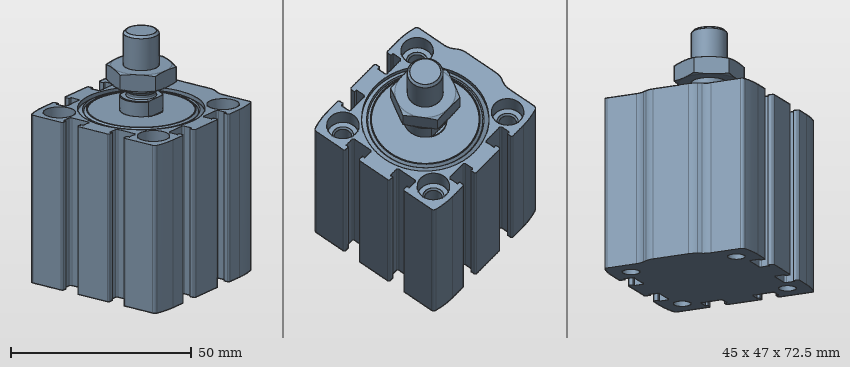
import cadquery as cq
import math

BODY_WIDTH = 45.0
BODY_DEPTH = 47.0
BODY_HEIGHT = 49.5
SIDE_FLAT_HALF = 15.5
SIDE_CURVE_RADIUS = 22.5
CORNER_RADIUS = 1.0
HALF_WIDTH = BODY_WIDTH / 2

BACK_Y = BODY_DEPTH - HALF_WIDTH
BACK_HALF_WIDTH = 6.8
BACK_SLOPE = math.radians(30)
BACK_BLEND_RADIUS = 5.0

SLOT_OFFSET = 8.0
SLOT_OPENING = 5.0
SLOT_INNER_WIDTH = 6.7
SLOT_LIP = 1.7
SLOT_DEPTH = 4.7
SLOT_EDGE_RADIUS = 0.5

HOLE_OFFSET = 16.25
HOLE_DIAMETER = 4.9
HOLE_CHAMFER = 0.5
COUNTERBORE_DIAMETER = 9.0
COUNTERBORE_DEPTH = 5.0

BORE_RADIUS = 35.4 / 2
BORE_WALL_DEPTH = 1.2
OUTER_CONE_TOP_RADIUS = 16.3
OUTER_CONE_ANGLE = math.radians(31)
INNER_CONE_BASE_RADIUS = 32.0 / 2
INNER_CONE_TOP_RADIUS = 15.2
INNER_CONE_ANGLE = math.radians(40)
RIM_DEPTH = 0.2
CAP_FACE_RADIUS = 14.9
CAP_FACE_DEPTH = 0.35
CAP_FACE_Z = BODY_HEIGHT - CAP_FACE_DEPTH
ROD_SEAT_DEPTH = 7.25

TOTAL_HEIGHT = 72.5
ROD_RADIUS = 12.0 / 2
ROD_FLATS_WIDTH = 10.0
FLATS_BOTTOM_Z = CAP_FACE_Z - 0.35
ROD_EDGE_CHAMFER = 0.2
THREAD_RADIUS = 10.0 / 2
TIP_RADIUS = 8.6 / 2
NECK_RADIUS = 8.1 / 2
SHOULDER_Z = TOTAL_HEIGHT - 18.9
NECK_BLEND_HEIGHT = 0.5
THREAD_BOTTOM_Z = TOTAL_HEIGHT - 16.8

NUT_ACROSS_FLATS = 17.0
NUT_THICKNESS = 5.0
NUT_TOP_Z = TOTAL_HEIGHT - 10.1
NUT_CHAMFER_ANGLE = math.radians(15)


def housing_block():
    """Square block with curved side ends, rounded corners and a raised back."""
    curve_rise = HALF_WIDTH - SIDE_FLAT_HALF
    end_inset = SIDE_CURVE_RADIUS - math.sqrt(SIDE_CURVE_RADIUS**2 - curve_rise**2)
    mid_inset = SIDE_CURVE_RADIUS - math.sqrt(SIDE_CURVE_RADIUS**2 - (curve_rise / 2) ** 2)
    end_x = HALF_WIDTH - end_inset
    mid_x = HALF_WIDTH - mid_inset
    mid_y = SIDE_FLAT_HALF + curve_rise / 2
    block = (
        cq.Workplane("XY")
        .moveTo(-end_x, -HALF_WIDTH)
        .lineTo(end_x, -HALF_WIDTH)
        .threePointArc((mid_x, -mid_y), (HALF_WIDTH, -SIDE_FLAT_HALF))
        .lineTo(HALF_WIDTH, SIDE_FLAT_HALF)
        .threePointArc((mid_x, mid_y), (end_x, HALF_WIDTH))
        .lineTo(-end_x, HALF_WIDTH)
        .threePointArc((-mid_x, mid_y), (-HALF_WIDTH, SIDE_FLAT_HALF))
        .lineTo(-HALF_WIDTH, -SIDE_FLAT_HALF)
        .threePointArc((-mid_x, -mid_y), (-end_x, -HALF_WIDTH))
        .close()
        .extrude(BODY_HEIGHT)
    )
    corners = [(sx * end_x, sy * HALF_WIDTH) for sx in (-1, 1) for sy in (-1, 1)]
    block = fillet_upright_edges(block, corners, CORNER_RADIUS)

    foot_x = BACK_HALF_WIDTH + (BACK_Y - HALF_WIDTH) / math.tan(BACK_SLOPE)
    back = (
        cq.Workplane("XY")
        .polyline([
            (-foot_x, HALF_WIDTH),
            (-BACK_HALF_WIDTH, BACK_Y),
            (BACK_HALF_WIDTH, BACK_Y),
            (foot_x, HALF_WIDTH),
            (foot_x, 0),
            (-foot_x, 0),
        ])
        .close()
        .extrude(BODY_HEIGHT)
    )
    shoulders = [(s * foot_x, HALF_WIDTH) for s in (-1, 1)]
    shoulders += [(s * BACK_HALF_WIDTH, BACK_Y) for s in (-1, 1)]
    return fillet_upright_edges(block.union(back), shoulders, BACK_BLEND_RADIUS)


def fillet_upright_edges(solid, points, radius):
    """Round the full-height edges that stand at the given (x, y) points."""
    reach = 0.1
    for x, y in points:
        box = cq.selectors.BoxSelector(
            (x - reach, y - reach, 0), (x + reach, y + reach, BODY_HEIGHT)
        )
        solid = solid.edges("|Z").edges(box).fillet(radius)
    return solid


def front_slot(x):
    """T-shaped cutter for a slot in the front face, centred at x, with its edge rounding."""
    half_open = SLOT_OPENING / 2
    r = SLOT_EDGE_RADIUS
    face_y = -HALF_WIDTH
    mouth_profile = (
        cq.Sketch()
        .rect(SLOT_OPENING + 2 * r, 2 * r)
        .push([(-half_open - r, r), (half_open + r, r)])
        .circle(r, mode="s")
    )
    mouth = cq.Workplane("XY").center(x, face_y).placeSketch(mouth_profile).extrude(BODY_HEIGHT)
    throat = (
        cq.Workplane("XY")
        .center(x, face_y + SLOT_DEPTH / 2)
        .rect(SLOT_OPENING, SLOT_DEPTH)
        .extrude(BODY_HEIGHT)
    )
    chamber = (
        cq.Workplane("XY")
        .center(x, face_y + (SLOT_LIP + SLOT_DEPTH) / 2)
        .rect(SLOT_INNER_WIDTH, SLOT_DEPTH - SLOT_LIP)
        .extrude(BODY_HEIGHT)
        .edges("|Z and >Y")
        .fillet(r)
    )
    return throat.union(chamber).union(mouth)


def mounting_hole(x, y):
    """Cutter for a through hole with a chamfered mouth below a counterbore."""
    radius = HOLE_DIAMETER / 2
    floor_z = BODY_HEIGHT - COUNTERBORE_DEPTH
    return (
        cq.Workplane("XZ")
        .polyline([
            (0, 0),
            (radius, 0),
            (radius, floor_z - HOLE_CHAMFER),
            (radius + HOLE_CHAMFER, floor_z),
            (COUNTERBORE_DIAMETER / 2, floor_z),
            (COUNTERBORE_DIAMETER / 2, BODY_HEIGHT),
            (0, BODY_HEIGHT),
        ])
        .close()
        .revolve()
        .translate((x, y, 0))
    )


def cap_recess():
    """Cutter above the end cap: two cones step up to a thin rim round the sunken cap face."""
    rim_z = BODY_HEIGHT - RIM_DEPTH
    inner_rise = (INNER_CONE_BASE_RADIUS - INNER_CONE_TOP_RADIUS) * math.tan(INNER_CONE_ANGLE)
    outer_base_z = BODY_HEIGHT - BORE_WALL_DEPTH
    outer_rise = (BORE_RADIUS - OUTER_CONE_TOP_RADIUS) * math.tan(OUTER_CONE_ANGLE)
    return (
        cq.Workplane("XZ")
        .polyline([
            (0, CAP_FACE_Z),
            (CAP_FACE_RADIUS, CAP_FACE_Z),
            (CAP_FACE_RADIUS, rim_z),
            (INNER_CONE_TOP_RADIUS, rim_z),
            (INNER_CONE_BASE_RADIUS, rim_z - inner_rise),
            (OUTER_CONE_TOP_RADIUS, outer_base_z + outer_rise),
            (BORE_RADIUS, outer_base_z),
            (BORE_RADIUS, BODY_HEIGHT),
            (0, BODY_HEIGHT),
        ])
        .close()
        .revolve()
    )


def rod_seat():
    """Cutter for the blind round seat that holds the rod in the end cap."""
    return (
        cq.Workplane("XY", origin=(0, 0, CAP_FACE_Z - ROD_SEAT_DEPTH))
        .circle(ROD_RADIUS)
        .extrude(ROD_SEAT_DEPTH)
    )


def make_housing():
    body = housing_block()
    for side_angle in (-90, 0, 90):
        for x in (-SLOT_OFFSET, SLOT_OFFSET):
            body = body.cut(front_slot(x).rotate((0, 0, 0), (0, 0, 1), side_angle))
    for x in (-HOLE_OFFSET, HOLE_OFFSET):
        for y in (-HOLE_OFFSET, HOLE_OFFSET):
            body = body.cut(mounting_hole(x, y))
    return body.cut(cap_recess()).cut(rod_seat())


def make_rod():
    """Rod seated in the end cap: round foot, flatted base, undercut neck and threaded end."""
    foot_z = CAP_FACE_Z - ROD_SEAT_DEPTH
    foot = (
        cq.Workplane("XY", origin=(0, 0, foot_z))
        .circle(ROD_RADIUS)
        .extrude(FLATS_BOTTOM_Z - foot_z)
    )
    base = (
        cq.Workplane("XY", origin=(0, 0, FLATS_BOTTOM_Z))
        .circle(ROD_RADIUS)
        .extrude(SHOULDER_Z - FLATS_BOTTOM_Z)
        .faces(">Z")
        .chamfer(ROD_EDGE_CHAMFER)
    )
    flats = cq.Workplane("XY").box(ROD_FLATS_WIDTH, 2 * ROD_RADIUS, 2 * TOTAL_HEIGHT)
    stud = (
        cq.Workplane("XZ")
        .moveTo(0, SHOULDER_Z)
        .lineTo(0, TOTAL_HEIGHT)
        .lineTo(TIP_RADIUS, TOTAL_HEIGHT)
        .lineTo(THREAD_RADIUS, TOTAL_HEIGHT - (THREAD_RADIUS - TIP_RADIUS))
        .lineTo(THREAD_RADIUS, THREAD_BOTTOM_Z)
        .lineTo(NECK_RADIUS, THREAD_BOTTOM_Z - (THREAD_RADIUS - NECK_RADIUS))
        .lineTo(NECK_RADIUS, SHOULDER_Z + NECK_BLEND_HEIGHT)
        .tangentArcPoint((TIP_RADIUS, SHOULDER_Z), relative=False)
        .close()
        .revolve(360, (0, 0, 0), (0, 1, 0))
    )
    return foot.union(base.intersect(flats)).union(stud)


def make_nut():
    """Hexagonal nut, corners towards +Y and -Y, with conical chamfers on both ends."""
    bottom_z = NUT_TOP_Z - NUT_THICKNESS
    face_radius = NUT_ACROSS_FLATS / 2
    corner_radius = face_radius / math.cos(math.pi / 6)
    chamfer_drop = (corner_radius - face_radius) * math.tan(NUT_CHAMFER_ANGLE)
    hexagon = (
        cq.Workplane("XY", origin=(0, 0, bottom_z))
        .transformed(rotate=(0, 0, 90))
        .polygon(6, 2 * corner_radius)
        .circle(THREAD_RADIUS)
        .extrude(NUT_THICKNESS)
    )
    envelope = (
        cq.Workplane("XZ")
        .polyline([
            (0, bottom_z),
            (face_radius, bottom_z),
            (corner_radius, bottom_z + chamfer_drop),
            (corner_radius, NUT_TOP_Z - chamfer_drop),
            (face_radius, NUT_TOP_Z),
            (0, NUT_TOP_Z),
        ])
        .close()
        .revolve()
    )
    return hexagon.intersect(envelope)


housing = make_housing().solids()
rod = make_rod().solids()
nut = make_nut().solids()

result = cq.Compound.makeCompound([housing.val(), rod.val(), nut.val()])